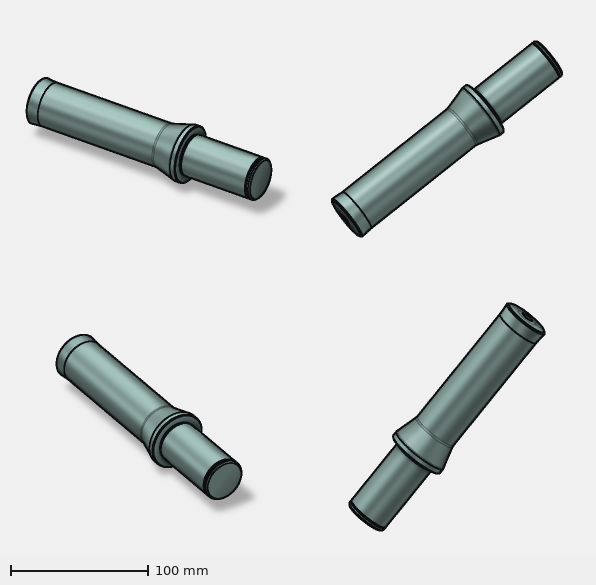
import cadquery as cq

OVERALL_LENGTH = 192.0

HEAD_FACE_X = 0.8
HEAD_BEVEL_X = 1.0
HEAD_RIM_X = 2.0
SEAM_X = 11.0
HEAD_FACE_DIAMETER = 31.1
HEAD_RIM_DIAMETER = 35.3
HEAD_BEVEL_DIAMETER = 33.0
CENTRE_BASE_DIAMETER = 16.3
CENTRE_TOP_DIAMETER = 9.2
CENTRE_DIMPLE_DEPTH = 1.2

BODY_DIAMETER = 34.0
FLANGE_DIAMETER = 44.0
FLANGE_CONE_DIAMETER = 43.2
CONE_START_X = 109.6
CONE_END_X = 126.3
FLANGE_START_X = 127.5
FLANGE_BACK_X = 132.0
FLANGE_CHAMFER = 0.5
CONE_BLEND_RADIUS = 5.8
SELECTION_MARGIN = 0.2

SHANK_DIAMETER = 32.0
NECK_DIAMETER = 31.5
SHANK_START_X = 133.0
SHANK_EDGE_CHAMFER = 0.5
GROOVE_START_X = 188.2
GROOVE_FLOOR_X = 188.5
GROOVE_END_X = 189.1
GROOVE_DIAMETER = 31.5
END_CHAMFER = 1.2


def turned(stations):
    """Revolve (x, diameter) stations about the X axis, closing along the axis."""
    first_x = stations[0][0]
    last_x = stations[-1][0]
    outline = [(x, diameter / 2) for x, diameter in stations]
    if outline[0][1] > 0:
        outline.insert(0, (first_x, 0))
    if outline[-1][1] > 0:
        outline.append((last_x, 0))
    return cq.Workplane("XY").polyline(outline).close().revolve(360, (0, 0, 0), (1, 0, 0))


def make_head():
    """Tapered head with a raised centre that carries a conical dimple."""
    return turned([
        (CENTRE_DIMPLE_DEPTH, 0),
        (0, CENTRE_TOP_DIAMETER),
        (HEAD_FACE_X, CENTRE_BASE_DIAMETER),
        (HEAD_FACE_X, HEAD_FACE_DIAMETER),
        (HEAD_BEVEL_X, HEAD_BEVEL_DIAMETER),
        (HEAD_RIM_X, HEAD_RIM_DIAMETER),
        (SEAM_X, BODY_DIAMETER),
    ])


def make_body():
    """Cylindrical body with a conical flange, a neck and a grooved shank."""
    body = turned([
        (SEAM_X, BODY_DIAMETER),
        (CONE_START_X, BODY_DIAMETER),
        (CONE_END_X, FLANGE_CONE_DIAMETER),
        (FLANGE_START_X, FLANGE_DIAMETER),
        (FLANGE_BACK_X - FLANGE_CHAMFER, FLANGE_DIAMETER),
        (FLANGE_BACK_X, FLANGE_DIAMETER - 2 * FLANGE_CHAMFER),
        (FLANGE_BACK_X, NECK_DIAMETER),
        (SHANK_START_X, NECK_DIAMETER),
        (SHANK_START_X + SHANK_EDGE_CHAMFER, SHANK_DIAMETER),
        (GROOVE_START_X, SHANK_DIAMETER),
        (GROOVE_FLOOR_X, GROOVE_DIAMETER),
        (GROOVE_END_X, GROOVE_DIAMETER),
        (GROOVE_END_X, SHANK_DIAMETER),
        (OVERALL_LENGTH - END_CHAMFER, SHANK_DIAMETER),
        (OVERALL_LENGTH, SHANK_DIAMETER - 2 * END_CHAMFER),
    ])
    blend_zone = cq.selectors.BoxSelector(
        (CONE_START_X - SELECTION_MARGIN, -BODY_DIAMETER, -BODY_DIAMETER),
        (CONE_START_X + SELECTION_MARGIN, BODY_DIAMETER, BODY_DIAMETER),
    )
    return body.edges(blend_zone).edges("%CIRCLE").fillet(CONE_BLEND_RADIUS)


head = make_head()
body = make_body()
result = cq.Compound.makeCompound([head.val(), body.val()])